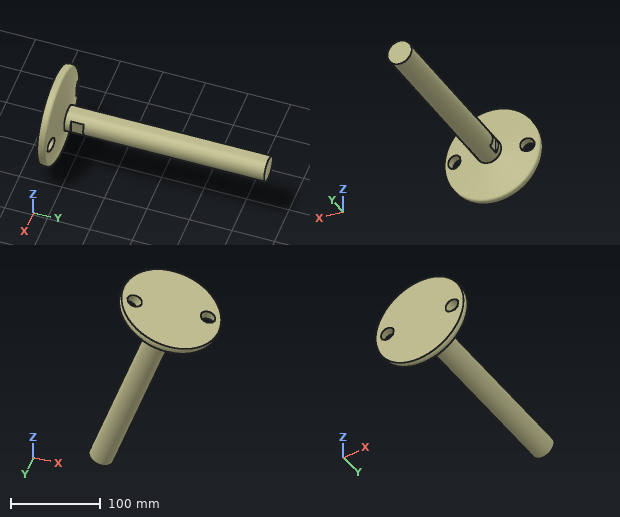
import cadquery as cq
import math

TOTAL_LENGTH = 252.0
SHAFT_DIAMETER = 30.0
FOOT_DIAMETER = 118.0

LOWER_BAND_TOP = 4.0
UPPER_BAND_TOP = 7.0
RIM_TOP = 10.0
CONE_TOP = 16.7

LOWER_EDGE_INSET = 0.6
UPPER_BAND_INSET = 0.15
CONE_BASE_INSET = 4.0
UPPER_EDGE_RADIUS = 3.5

FLATS_WIDTH = 24.0
FLATS_BOTTOM = 24.0
FLATS_LENGTH = 15.0

HOLE_DIAMETER = 16.5
HOLE_OFFSET = 42.8

shaft_radius = SHAFT_DIAMETER / 2
foot_radius = FOOT_DIAMETER / 2
cone_base_radius = foot_radius - CONE_BASE_INSET
cone_angle = math.atan2(CONE_TOP - RIM_TOP, cone_base_radius - shaft_radius)


def revolved_body():
    """Foot and shaft as one profile turned about the Y axis."""
    profile = (
        cq.Workplane("XY")
        .moveTo(0, 0)
        .lineTo(foot_radius - LOWER_EDGE_INSET, 0)
        .lineTo(foot_radius, LOWER_BAND_TOP)
        .lineTo(foot_radius - UPPER_BAND_INSET, UPPER_BAND_TOP)
        .radiusArc((cone_base_radius, RIM_TOP), -UPPER_EDGE_RADIUS)
        .lineTo(shaft_radius, CONE_TOP)
        .lineTo(shaft_radius, TOTAL_LENGTH)
        .lineTo(0, TOTAL_LENGTH)
        .close()
    )
    return profile.revolve(360, (0, 0, 0), (0, 1, 0))


def flat_cutter(side):
    """Block that leaves one wrench flat on the given X side of the shaft."""
    return (
        cq.Workplane("XY")
        .box(SHAFT_DIAMETER, FLATS_LENGTH, SHAFT_DIAMETER)
        .translate((side * (FLATS_WIDTH + SHAFT_DIAMETER) / 2, FLATS_BOTTOM + FLATS_LENGTH / 2, 0))
    )


def hole_cutter(side):
    """Tilted drill through the foot, its axis centred on HOLE_OFFSET at the foot face."""
    direction = cq.Vector(side * math.sin(cone_angle), math.cos(cone_angle), 0)
    start = cq.Vector(side * HOLE_OFFSET, 0, 0) - direction * CONE_TOP
    return cq.Workplane(cq.Solid.makeCylinder(HOLE_DIAMETER / 2, 2 * CONE_TOP, start, direction))


result = revolved_body()
for x_side in (-1, 1):
    result = result.cut(flat_cutter(x_side))
    result = result.cut(hole_cutter(x_side))